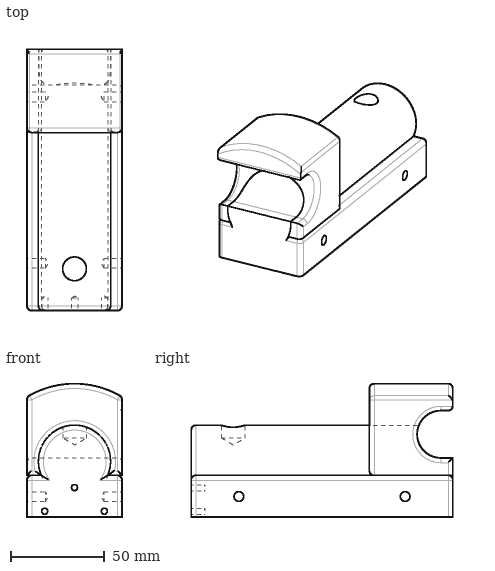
import cadquery as cq
import math

WIDTH = 50.9
LENGTH = 139.7
HEIGHT = 71.4
BASE_HEIGHT = 22.4
EDGE_RADIUS = 2.5

RAIL_RADIUS = 19.3
RAIL_HEIGHT = 29.9

HEAD_LENGTH = 44.5
ROOF_RADIUS = 48.9

NOTCH_RADIUS = 12.6
NOTCH_STRAIGHT = 6.4
NOTCH_HEIGHT = 44.3

DRILL_POINT_ANGLE = 118.0
TOP_HOLE_DIAMETER = 12.7
TOP_HOLE_FROM_FRONT = 22.4
TOP_HOLE_DEPTH = 6.7
SIDE_HOLE_DIAMETER = 5.2
SIDE_HOLE_FROM_END = 25.4
SIDE_HOLE_HEIGHT = 11.0
SIDE_HOLE_DEPTH = 9.8
END_HOLE_DIAMETER = 3.2
END_HOLE_DEPTH = 7.0
CENTRE_HOLE_HEIGHT = 15.8
LOWER_HOLE_HEIGHT = 3.2
LOWER_HOLE_OFFSET = 15.9

HALF_WIDTH = WIDTH / 2
FRONT_Y = -LENGTH / 2
REAR_Y = LENGTH / 2
HEAD_FRONT_Y = REAR_Y - HEAD_LENGTH
ROOF_EDGE_HEIGHT = HEIGHT - ROOF_RADIUS + math.sqrt(ROOF_RADIUS**2 - HALF_WIDTH**2)
NOTCH_CENTRE_Y = REAR_Y - NOTCH_STRAIGHT

MARGIN = 1.4
BAND_TOLERANCE = 0.1


def end_plane(y):
    """Plane facing +Y at the given y; local x is -X and local y is Z."""
    return cq.Plane(origin=(0, y, 0), xDir=(-1, 0, 0), normal=(0, 1, 0))


def height_band(height):
    """Selector for edges centred at the given height."""
    return cq.selectors.BoxSelector(
        (-WIDTH, -LENGTH, height - BAND_TOLERANCE),
        (WIDTH, LENGTH, height + BAND_TOLERANCE),
    )


def above(height):
    """Selector for edges centred at or above the given height."""
    return cq.selectors.BoxSelector(
        (-WIDTH, -LENGTH, height - BAND_TOLERANCE),
        (WIDTH, LENGTH, HEIGHT + MARGIN),
    )


def make_rail():
    return cq.Workplane(end_plane(FRONT_Y)).center(0, RAIL_HEIGHT).circle(RAIL_RADIUS).extrude(LENGTH)


def make_notch():
    """Cutter that passes through the full width and opens past the rear face."""
    side = cq.Workplane(cq.Plane.YZ(origin=(-HALF_WIDTH - MARGIN, 0, 0)))
    bottom = NOTCH_HEIGHT - NOTCH_RADIUS
    top = NOTCH_HEIGHT + NOTCH_RADIUS
    return (
        side.moveTo(REAR_Y + MARGIN, bottom)
        .lineTo(NOTCH_CENTRE_Y, bottom)
        .threePointArc((NOTCH_CENTRE_Y - NOTCH_RADIUS, NOTCH_HEIGHT), (NOTCH_CENTRE_Y, top))
        .lineTo(REAR_Y + MARGIN, top)
        .close()
        .extrude(WIDTH + 2 * MARGIN)
    )


def make_drill(diameter, depth, start, direction):
    """Blind hole cutter with a conical end, depth measured to the full diameter."""
    radius = diameter / 2
    point_length = radius / math.tan(math.radians(DRILL_POINT_ANGLE / 2))
    tip = cq.Vector(*start) + cq.Vector(*direction) * depth
    shaft = cq.Solid.makeCylinder(radius, depth, cq.Vector(*start), cq.Vector(*direction))
    point = cq.Solid.makeCone(radius, 0, point_length, tip, cq.Vector(*direction))
    return shaft.fuse(point)


def make_base():
    """Rectangular base with the rail standing out of its top."""
    block = cq.Workplane("XY").box(WIDTH, LENGTH, BASE_HEIGHT, centered=(True, True, False))
    body = block.union(make_rail())
    body = body.edges("|Z").fillet(EDGE_RADIUS)
    body = round_base_rim(body)
    return drill_base(body.cut(make_notch()))


def round_base_rim(body):
    """Round the outer top edges of the block and the front outline of the rail."""
    shoulder = body.edges(height_band(BASE_HEIGHT))
    shoulder_sides = shoulder.edges("<X or >X").vals()
    shoulder_rear = shoulder.edges("|X").edges(">Y").vals()
    front_outline = body.faces("<Y").edges(above(BASE_HEIGHT)).vals()
    rim = shoulder_sides + shoulder_rear + front_outline
    return body.newObject(rim).edges().fillet(EDGE_RADIUS)


def drill_base(body):
    top = (0, FRONT_Y + TOP_HOLE_FROM_FRONT, RAIL_HEIGHT + RAIL_RADIUS)
    drills = [make_drill(TOP_HOLE_DIAMETER, TOP_HOLE_DEPTH, top, (0, 0, -1))]

    for side in (-1, 1):
        for y in (FRONT_Y + SIDE_HOLE_FROM_END, REAR_Y - SIDE_HOLE_FROM_END):
            start = (side * HALF_WIDTH, y, SIDE_HOLE_HEIGHT)
            drills.append(make_drill(SIDE_HOLE_DIAMETER, SIDE_HOLE_DEPTH, start, (-side, 0, 0)))

    end_holes = [
        (0, CENTRE_HOLE_HEIGHT),
        (-LOWER_HOLE_OFFSET, LOWER_HOLE_HEIGHT),
        (LOWER_HOLE_OFFSET, LOWER_HOLE_HEIGHT),
    ]
    for x, z in end_holes:
        drills.append(make_drill(END_HOLE_DIAMETER, END_HOLE_DEPTH, (x, FRONT_Y, z), (0, 1, 0)))

    for drill in drills:
        body = body.cut(cq.Workplane(drill))
    return body


def make_head():
    """Domed clamp head that fits over the rail and rests on the base."""
    blank = (
        cq.Workplane(end_plane(HEAD_FRONT_Y))
        .moveTo(-HALF_WIDTH, BASE_HEIGHT)
        .lineTo(-HALF_WIDTH, ROOF_EDGE_HEIGHT)
        .threePointArc((0, HEIGHT), (HALF_WIDTH, ROOF_EDGE_HEIGHT))
        .lineTo(HALF_WIDTH, BASE_HEIGHT)
        .close()
        .extrude(HEAD_LENGTH)
    )
    head = blank.cut(make_rail()).cut(make_notch())
    return round_head(head)


def round_head(head):
    """Round the front outline, roof edges, notch rims and the rear edges next to the notch."""
    lip_height = NOTCH_HEIGHT + NOTCH_RADIUS
    floor_height = NOTCH_HEIGHT - NOTCH_RADIUS
    side_edges = head.faces("<X or >X").edges()

    front_outline = head.faces("<Y").edges().vals()
    roof_sides = side_edges.edges(height_band(ROOF_EDGE_HEIGHT)).edges("|Y").vals()
    notch_rims = (
        side_edges.edges("%CIRCLE").vals()
        + side_edges.edges(height_band(lip_height)).vals()
        + side_edges.edges(height_band(floor_height)).vals()
    )
    rear_edges = (
        head.faces(">Y").edges("%CIRCLE and >Z").vals()
        + head.faces(">Y").edges(height_band(lip_height)).vals()
        + side_edges.edges("|Z").edges(height_band((BASE_HEIGHT + floor_height) / 2)).edges(">Y").vals()
    )
    rounded = front_outline + roof_sides + notch_rims + rear_edges
    return head.newObject(rounded).edges().fillet(EDGE_RADIUS)


base = make_base()
head = make_head()
result = cq.Compound.makeCompound([base.val(), head.val()])